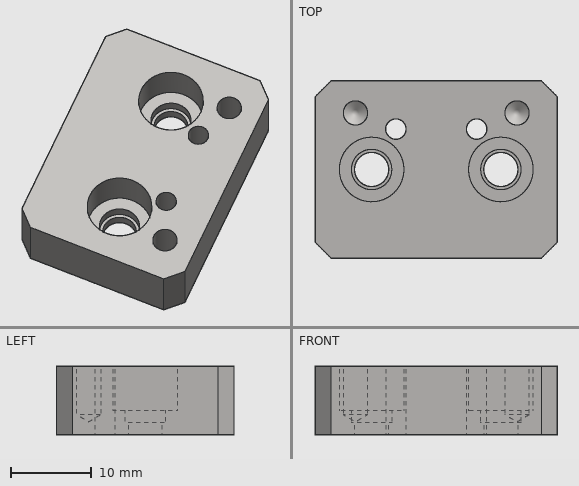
import cadquery as cq
import math

length = 30.0
width = 22.0
height = 8.5
corner_chamfer = 2.0

screw_spacing = 16.0
screw_y = 0.0
counterbore_diameter = 8.0
counterbore_depth = 5.5
bore_diameter = 5.0
bore_depth = 7.0
screw_drill_diameter = 4.2

through_spacing = 10.0
through_y = 5.0
through_diameter = 2.5

blind_spacing = 20.0
blind_y = 7.0
blind_diameter = 3.0
blind_depth = 6.0
drill_point_angle = 118.0
drill_point_height = blind_diameter / 2 / math.tan(math.radians(drill_point_angle / 2))


def mirrored_pair(spacing, y):
    """Two hole centres placed symmetrically about the YZ plane."""
    return [(-spacing / 2, y), (spacing / 2, y)]


def hole_cutters(centres, diameter, depth):
    """Cylinders sunk from the top face to the given depth."""
    top_plane = cq.Workplane("XY").workplane(offset=height)
    return top_plane.pushPoints(centres).circle(diameter / 2).extrude(-depth)


def make_block():
    """Rectangular block with its four vertical corners chamfered."""
    block = cq.Workplane("XY").box(length, width, height, centered=(True, True, False))
    return block.edges("|Z").chamfer(corner_chamfer)


def cut_screw_holes(body):
    """Two screw holes that narrow in steps from the top face downwards."""
    centres = mirrored_pair(screw_spacing, screw_y)
    steps = [
        (counterbore_diameter, counterbore_depth),
        (bore_diameter, bore_depth),
        (screw_drill_diameter, height),
    ]
    for diameter, depth in steps:
        body = body.cut(hole_cutters(centres, diameter, depth))
    return body


def cut_through_holes(body):
    """Two plain holes through the full height."""
    centres = mirrored_pair(through_spacing, through_y)
    return body.cut(hole_cutters(centres, through_diameter, height))


def cut_blind_holes(body):
    """Two blind holes, each ending in a conical drill point."""
    centres = mirrored_pair(blind_spacing, blind_y)
    body = body.cut(hole_cutters(centres, blind_diameter, blind_depth))
    for x, y in centres:
        drill_point = cq.Solid.makeCone(
            blind_diameter / 2,
            0,
            drill_point_height,
            pnt=cq.Vector(x, y, height - blind_depth),
            dir=cq.Vector(0, 0, -1),
        )
        body = body.cut(cq.Workplane(obj=drill_point))
    return body


plate = make_block()
plate = cut_screw_holes(plate)
plate = cut_through_holes(plate)
result = cut_blind_holes(plate)